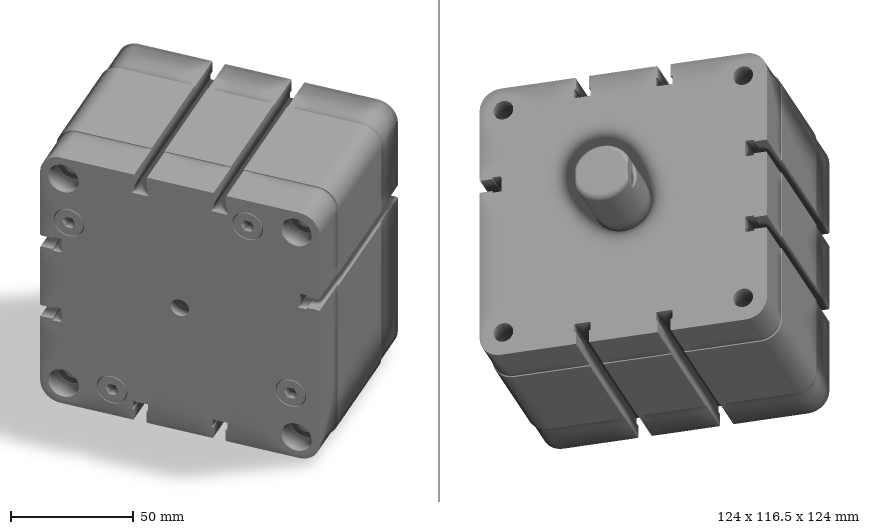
import cadquery as cq
import math

barrel_side = 124.0
barrel_length = 47.7
cap_side = 123.0
cap_length = 19.3
corner_radius = 9.0
block_length = 2 * cap_length + barrel_length

slot_offset = 17.5
slot_mouth_width = 5.5
slot_inner_width = 7.1
slot_floor = barrel_side / 2 - 9.8
slot_shoulder = barrel_side / 2 - 6.0
slot_lip_radius = 0.5
slot_floor_radius = 0.5

mount_offset = 51.3
mount_diameter = 8.4
counterbore_diameter = 13.5
counterbore_depth = 10.5

screw_far = 48.9
screw_near = 29.9
screw_recess_diameter = 13.5
screw_head_diameter = 12.5
screw_gap_depth = 1.2
socket_across_flats = 5.0
socket_depth = 4.0
screw_positions = [
    (-screw_far, screw_near),
    (screw_near, screw_far),
    (screw_far, -screw_near),
    (-screw_near, -screw_far),
]

center_hole_diameter = 8.0
center_hole_depth = 4.2

overall_length = 116.5
rod_diameter = 25.0
rod_length = overall_length - block_length
rod_end_radius = 2.1
flats_width = 22.3
flats_length = 7.2
flats_runout = 1.4

slots = [(center, turn) for turn in (0, 180, 270) for center in (-slot_offset, slot_offset)]
slots.append((-slot_offset, 90))


def plane_at(y):
    """Sketch plane facing +Y; its local axes are Z and X of the part."""
    return cq.Workplane(cq.Plane(origin=(0, y, 0), xDir=(0, 0, 1), normal=(0, 1, 0)))


def turned_about_y(shape, angle):
    return shape.rotate((0, 0, 0), (0, 1, 0), angle)


def block_length_bar(width, bottom, top):
    """Rectangular bar along the whole block, centred on X = 0, between two heights in Z."""
    bar = cq.Workplane("XY").box(width, block_length, top - bottom, centered=(True, False, False))
    return bar.translate((0, 0, bottom))


def lip_cutter(side):
    """Rounds both lips of a slot in the +Z side of a section of the given side length."""
    half_mouth = slot_mouth_width / 2
    half_flare = half_mouth + slot_lip_radius
    top = side / 2
    root = top - slot_lip_radius
    inset = slot_lip_radius * (1 - math.sqrt(0.5))
    return (
        cq.Workplane("XZ")
        .moveTo(-half_flare, top)
        .threePointArc((-half_mouth - inset, top - inset), (-half_mouth, root))
        .lineTo(half_mouth, root)
        .threePointArc((half_mouth + inset, top - inset), (half_flare, top))
        .close()
        .extrude(-block_length)
    )


def slot_cutter(side):
    """T-slot with rounded lips in the middle of the +Z side."""
    mouth = block_length_bar(slot_mouth_width, slot_shoulder, barrel_side / 2)
    inner = block_length_bar(slot_inner_width, slot_floor, slot_shoulder)
    inner = inner.edges("|Y and <Z").fillet(slot_floor_radius)
    return mouth.union(inner).union(lip_cutter(side))


def section(side, start, length):
    """One rounded square length of the block with its T-slots."""
    body = plane_at(start).rect(side, side).extrude(length).edges("|Y").fillet(corner_radius)
    cutter = slot_cutter(side)
    for center, turn in slots:
        body = body.cut(turned_about_y(cutter.translate((center, 0, 0)), turn))
    return body


def mounting_holes():
    centers = plane_at(0).rect(2 * mount_offset, 2 * mount_offset, forConstruction=True).vertices()
    holes = centers.circle(mount_diameter / 2).extrude(block_length)
    return holes.union(centers.circle(counterbore_diameter / 2).extrude(counterbore_depth))


def screw_outline():
    """Ring-shaped gap around a screw head together with its hexagon socket."""
    gap = plane_at(0).circle(screw_recess_diameter / 2).circle(screw_head_diameter / 2)
    socket = plane_at(0).polygon(6, socket_across_flats, circumscribed=True)
    return gap.extrude(screw_gap_depth).union(socket.extrude(socket_depth))


def piston_rod():
    radius = rod_diameter / 2
    shaft = plane_at(block_length).circle(radius).extrude(rod_length)
    shaft = shaft.faces(">Y").edges().fillet(rod_end_radius)
    flat_end = overall_length - flats_length
    flat = (
        cq.Workplane("XY")
        .moveTo(flats_width / 2, overall_length)
        .lineTo(flats_width / 2, flat_end)
        .lineTo(radius, flat_end - flats_runout)
        .lineTo(radius, overall_length)
        .close()
        .extrude(radius, both=True)
    )
    return shaft.cut(flat).cut(turned_about_y(flat, 180))


result = section(cap_side, 0, cap_length)
result = result.union(section(barrel_side, cap_length, barrel_length))
result = result.union(section(cap_side, cap_length + barrel_length, cap_length))

result = result.cut(mounting_holes())
result = result.cut(plane_at(0).circle(center_hole_diameter / 2).extrude(center_hole_depth))
screw = screw_outline()
for x, z in screw_positions:
    result = result.cut(screw.translate((x, 0, z)))

result = result.union(piston_rod())